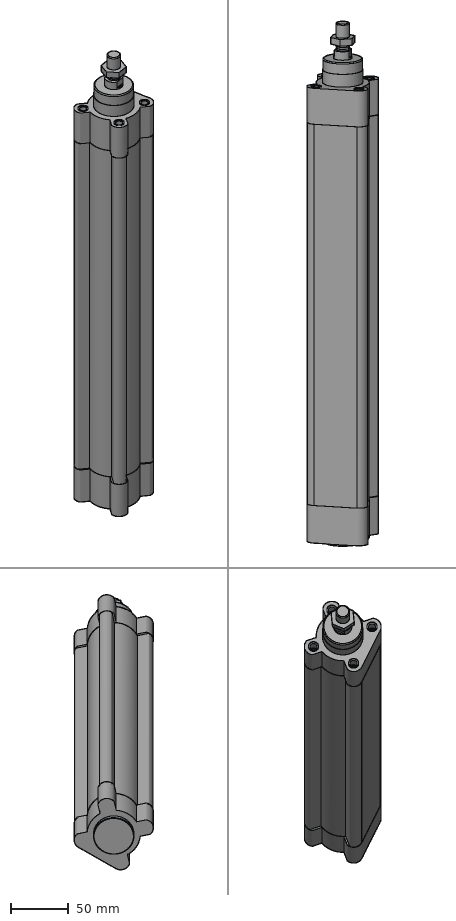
import cadquery as cq
import math

total_length = 461.9
top_z = total_length / 2
bottom_z = -total_length / 2

rod_shoulder_depth = 24.0
rod_flat_end_depth = 30.0
collar_top_depth = 31.5
collar_step_depth = 41.7
front_cap_depth = 53.0
front_cap_length = 32.0
end_cap_length = 33.5
end_boss_height = 4.0

cap_radius = 23.0
screw_spacing = 38.0
cap_lobe_radius = 8.0
tube_inset = 0.2
tube_radius = cap_radius - tube_inset
tube_lobe_radius = cap_lobe_radius - tube_inset
cap_lobe_width = 14.3
tube_lobe_width = 11.2
lobe_edge_fillet = 1.2

boss_diameter = 35.0
collar_diameter = 34.5
collar_chamfer = 1.0
boss_chamfer = 0.5

recess_diameter = 8.8
recess_depth = 0.8
thread_diameter = 6.0
thread_depth = 10.0
core_diameter = 4.92
core_depth = 14.0
drill_point_angle = 118.0
drill_point_height = core_diameter / 2 / math.tan(math.radians(drill_point_angle / 2))

rod_diameter = 16.0
rod_across_flats = 13.0
rod_stud_diameter = 12.0
stud_chamfer = 0.9
relief_diameter = 10.65
relief_start_depth = 20.6
relief_end_depth = 22.6

nut_across_flats = 19.0
nut_height = 6.0
nut_top_depth = 12.4

collar_top_z = top_z - collar_top_depth
collar_step_z = top_z - collar_step_depth
front_cap_z = top_z - front_cap_depth
tube_top_z = front_cap_z - front_cap_length
end_face_z = bottom_z + end_boss_height
tube_bottom_z = end_face_z + end_cap_length
rod_inner_end_z = tube_top_z


def cylinder(diameter, low_z, high_z):
    """Cylinder on the Z axis between two heights."""
    return cq.Workplane("XY").workplane(offset=low_z).circle(diameter / 2).extrude(high_z - low_z)


def lobe(lobe_radius, width, low_z, high_z):
    """Corner lobe along +X: a straight band with a round tip and softened tip corners."""
    centre = screw_spacing / 2 * math.sqrt(2)
    corner = centre + math.sqrt(lobe_radius**2 - (width / 2) ** 2)
    band = (
        cq.Workplane("XY")
        .workplane(offset=low_z)
        .moveTo(0, -width / 2)
        .lineTo(corner, -width / 2)
        .threePointArc((centre + lobe_radius, 0), (corner, width / 2))
        .lineTo(0, width / 2)
        .close()
        .extrude(high_z - low_z)
    )
    return band.edges("|Z").edges(">X").fillet(lobe_edge_fillet)


def barrel_section(radius, lobe_radius, lobe_width, low_z, high_z):
    """Stretch of the barrel with four corner lobes and a flat +Y side."""
    flat_side_y = screw_spacing / 2 + lobe_radius
    section = cylinder(2 * radius, low_z, high_z)
    single_lobe = lobe(lobe_radius, lobe_width, low_z, high_z)
    for quarter in range(4):
        angle = 45 + 90 * quarter
        section = section.union(single_lobe.rotate((0, 0, 0), (0, 0, 1), angle))
    flat_side = (
        cq.Workplane("XY")
        .workplane(offset=low_z)
        .center(0, flat_side_y / 2)
        .rect(screw_spacing, flat_side_y)
        .extrude(high_z - low_z)
    )
    return section.union(flat_side)


def screw_recesses():
    """Stepped screw holes with drill points, one in each front corner."""
    point_z = front_cap_z - core_depth
    cutter = (
        cylinder(recess_diameter, front_cap_z - recess_depth, front_cap_z)
        .union(cylinder(thread_diameter, front_cap_z - thread_depth, front_cap_z))
        .union(cylinder(core_diameter, point_z, front_cap_z))
    )
    tip = cq.Vector(0, 0, point_z - drill_point_height)
    drill_point = cq.Solid.makeCone(0, core_diameter / 2, drill_point_height, tip)
    cutter = cutter.union(cq.Workplane(drill_point))
    cutters = cq.Workplane("XY")
    for x_side in (-1, 1):
        for y_side in (-1, 1):
            place = (x_side * screw_spacing / 2, y_side * screw_spacing / 2, 0)
            cutters = cutters.add(cutter.translate(place))
    return cutters.combine()


def make_housing():
    """Tube, both caps, guide collar and rear boss, bored for the rod."""
    collar = cylinder(collar_diameter, collar_step_z, collar_top_z).faces(">Z").chamfer(collar_chamfer)
    rear_boss = cylinder(boss_diameter, bottom_z, end_face_z).faces("<Z").chamfer(boss_chamfer)
    return (
        barrel_section(tube_radius, tube_lobe_radius, tube_lobe_width, tube_bottom_z, tube_top_z)
        .union(barrel_section(cap_radius, cap_lobe_radius, cap_lobe_width, tube_top_z, front_cap_z))
        .union(barrel_section(cap_radius, cap_lobe_radius, cap_lobe_width, end_face_z, tube_bottom_z))
        .union(cylinder(boss_diameter, front_cap_z, collar_step_z))
        .union(collar)
        .union(rear_boss)
        .cut(cylinder(rod_diameter, rod_inner_end_z, collar_top_z))
        .cut(screw_recesses())
    )


def make_rod():
    """Round rod with two wrench flats and a stud with a thread relief."""
    shoulder_z = top_z - rod_shoulder_depth
    flat_end_z = top_z - rod_flat_end_depth
    relief_start_z = top_z - relief_start_depth
    relief_end_z = top_z - relief_end_depth
    stud_radius = rod_stud_diameter / 2
    relief_radius = relief_diameter / 2
    rod_radius = rod_diameter / 2
    turned = (
        cq.Workplane("XZ")
        .moveTo(0, rod_inner_end_z)
        .lineTo(rod_radius, rod_inner_end_z)
        .lineTo(rod_radius, shoulder_z)
        .lineTo(relief_radius, shoulder_z)
        .lineTo(relief_radius, relief_end_z)
        .lineTo(stud_radius, relief_start_z)
        .lineTo(stud_radius, top_z - stud_chamfer)
        .lineTo(stud_radius - stud_chamfer, top_z)
        .lineTo(0, top_z)
        .close()
        .revolve(360, (0, 0, 0), (0, 1, 0))
    )
    flat_length = shoulder_z - flat_end_z
    for side in (-1, 1):
        flat_cutter = (
            cq.Workplane("XY")
            .workplane(offset=flat_end_z)
            .center(side * (rod_across_flats + rod_diameter) / 2, 0)
            .rect(rod_diameter, 2 * rod_diameter)
            .extrude(flat_length)
        )
        turned = turned.cut(flat_cutter)
    return turned


def make_nut():
    """Hexagon nut with its corners on the Y axis, bored for the stud."""
    nut_top_z = top_z - nut_top_depth
    nut_bottom_z = nut_top_z - nut_height
    hexagon = (
        cq.Workplane("XY")
        .workplane(offset=nut_bottom_z)
        .polygon(6, nut_across_flats, circumscribed=True)
        .extrude(nut_height)
    )
    return hexagon.cut(cylinder(rod_stud_diameter, nut_bottom_z, nut_top_z))


housing = make_housing()
rod = make_rod()
nut = make_nut()

result = cq.Compound.makeCompound([housing.val(), rod.val(), nut.val()])